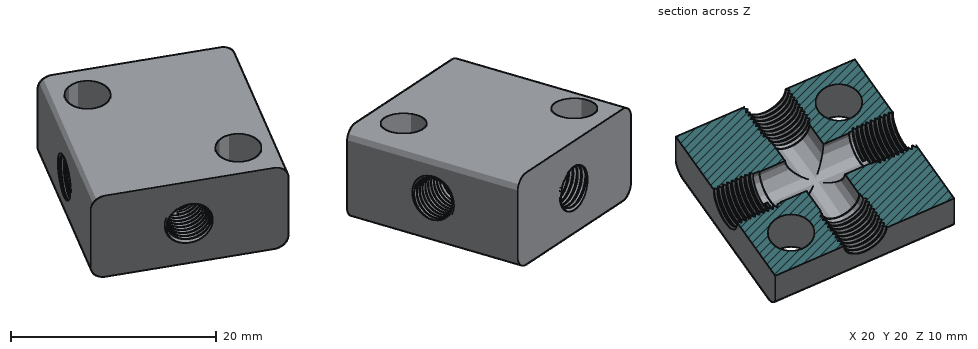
import cadquery as cq
import math

width = 20.0
height = width / 2
edge_radius = 1.5

mount_diameter = 4.5
mount_offset = 6.0

bore_diameter = 4.25
tap_depth = 5.0

major_diameter = 5.0
minor_diameter = 4.42
pitch = 0.5
root_flat = pitch / 8
flank_slope = math.tan(math.radians(60 / 2))
major_radius = major_diameter / 2
minor_radius = minor_diameter / 2

groove_start_angle = -90.0

origin = (0, 0, 0)
x_axis = (1, 0, 0)
z_axis = (0, 0, 1)
mount_diagonal = (1, 1, 0)


def make_block():
    block = cq.Workplane("XY").box(width, width, height)
    return block.edges("|X").fillet(edge_radius)


def make_mount_holes():
    centres = [(-mount_offset, -mount_offset), (mount_offset, mount_offset)]
    holes = cq.Workplane("XY").pushPoints(centres)
    return holes.circle(mount_diameter / 2).extrude(height, both=True)


def make_tap():
    """Threaded rod along +Z, starting one pitch before its mouth at Z = 0.

    The groove stops one pitch short of the flat end of the core.
    """
    groove_depth = major_radius - minor_radius
    overlap = groove_depth / 10
    half_base = root_flat / 2 + (groove_depth + overlap) * flank_slope
    helix = cq.Wire.makeHelix(pitch, tap_depth, minor_radius)
    groove = (
        cq.Workplane("XZ")
        .moveTo(minor_radius - overlap, -half_base)
        .lineTo(major_radius, -root_flat / 2)
        .lineTo(major_radius, root_flat / 2)
        .lineTo(minor_radius - overlap, half_base)
        .close()
        .sweep(cq.Workplane(obj=helix), isFrenet=True)
    )
    core = cq.Workplane("XY").circle(minor_radius).extrude(tap_depth + pitch)
    tap = core.union(groove).translate((0, 0, -pitch))
    return tap.rotate(origin, z_axis, groove_start_angle)


def make_tapped_bore():
    """Cutter along Y: a through bore with the same thread entering from both ends."""
    bore = cq.Workplane("XZ").circle(bore_diameter / 2).extrude(width, both=True)
    front_tap = make_tap().rotate(origin, x_axis, -90).translate((0, -width / 2, 0))
    back_tap = front_tap.rotate(origin, z_axis, 180)
    return bore.union(front_tap).union(back_tap)


bore_along_y = make_tapped_bore()
bore_along_x = bore_along_y.rotate(origin, mount_diagonal, 180)

result = make_block().cut(make_mount_holes()).cut(bore_along_y).cut(bore_along_x)